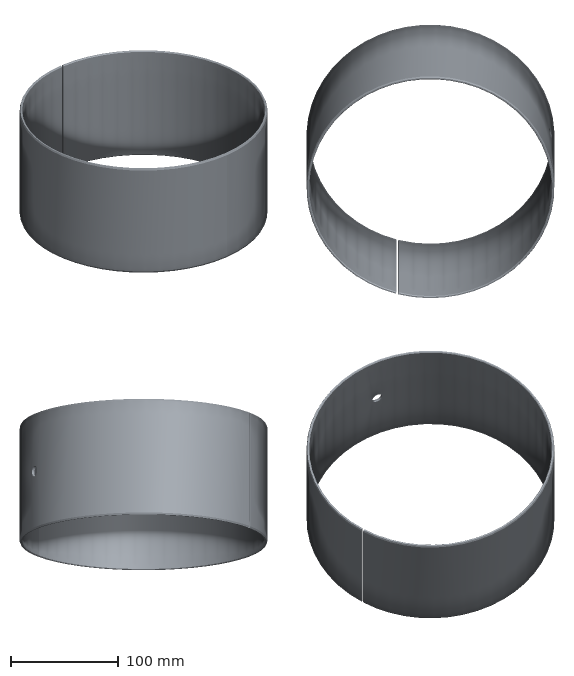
import cadquery as cq

outer_diameter = 230.0
height = 110.0
wall = 2.5

outer_chamfer_width = 0.7
outer_chamfer_height = 1.5
inner_chamfer = 0.7

gap_width = 2.0

hole_diameter = 10.0
hole_angle = 59.0

outer_radius = outer_diameter / 2
inner_radius = outer_radius - wall


def make_band():
    """Revolve the wall section, chamfered at both rims, into a closed ring."""
    top = height / 2
    outer_shoulder = top - outer_chamfer_height
    inner_shoulder = top - inner_chamfer
    rim_outer_radius = outer_radius - outer_chamfer_width
    rim_inner_radius = inner_radius + inner_chamfer
    section = [
        (inner_radius, -inner_shoulder),
        (rim_inner_radius, -top),
        (rim_outer_radius, -top),
        (outer_radius, -outer_shoulder),
        (outer_radius, outer_shoulder),
        (rim_outer_radius, top),
        (rim_inner_radius, top),
        (inner_radius, inner_shoulder),
    ]
    return cq.Workplane("XZ").polyline(section).close().revolve(360, (0, 0), (0, 1))


def make_gap():
    """Full-height cutter that opens the ring on its -X side."""
    cutter = cq.Workplane("XY").box(outer_diameter, gap_width, height, centered=(True, False, True))
    return cutter.translate((-outer_radius, 0, 0))


def make_hole():
    """Radial cutter that pierces one side of the wall only."""
    cutter = cq.Workplane("YZ").circle(hole_diameter / 2).extrude(outer_diameter)
    return cutter.rotate((0, 0, 0), (0, 0, 1), hole_angle)


result = make_band().cut(make_gap()).cut(make_hole())